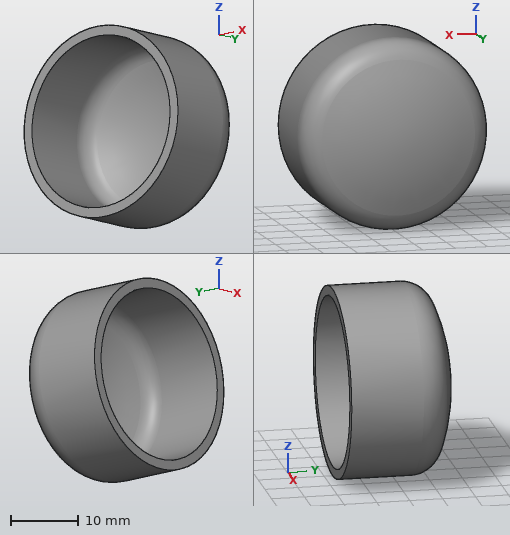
import cadquery as cq
import math

outer_diameter = 29.0
inner_diameter = 26.0
skirt_length = 11.0
crown_inner_radius = 29.0
knuckle_inner_radius = 2.9

outer_radius = outer_diameter / 2
inner_radius = inner_diameter / 2
wall = outer_radius - inner_radius

knuckle_center_x = inner_radius - knuckle_inner_radius
crown_angle = math.asin(knuckle_center_x / (crown_inner_radius - knuckle_inner_radius))
crown_center_y = skirt_length - (crown_inner_radius - knuckle_inner_radius) * math.cos(crown_angle)


def knuckle_point(radius, angle):
    """Point on a knuckle arc, with the angle measured from the Y axis."""
    return (
        knuckle_center_x + radius * math.sin(angle),
        skirt_length + radius * math.cos(angle),
    )


def crown_point(radius, angle):
    """Point on a crown arc, with the angle measured from the Y axis."""
    return (
        radius * math.sin(angle),
        crown_center_y + radius * math.cos(angle),
    )


def dished_body(offset):
    """Solid of revolution bounded by the inner skin moved outward by the offset."""
    knuckle_radius = knuckle_inner_radius + offset
    crown_radius = crown_inner_radius + offset
    knuckle_mid_angle = (crown_angle + math.pi / 2) / 2
    return (
        cq.Workplane("XY")
        .lineTo(inner_radius + offset, 0)
        .lineTo(inner_radius + offset, skirt_length)
        .threePointArc(
            knuckle_point(knuckle_radius, knuckle_mid_angle),
            knuckle_point(knuckle_radius, crown_angle),
        )
        .threePointArc(
            crown_point(crown_radius, crown_angle / 2),
            crown_point(crown_radius, 0),
        )
        .close()
        .revolve(360, (0, 0, 0), (0, 1, 0))
    )


result = dished_body(wall).cut(dished_body(0))